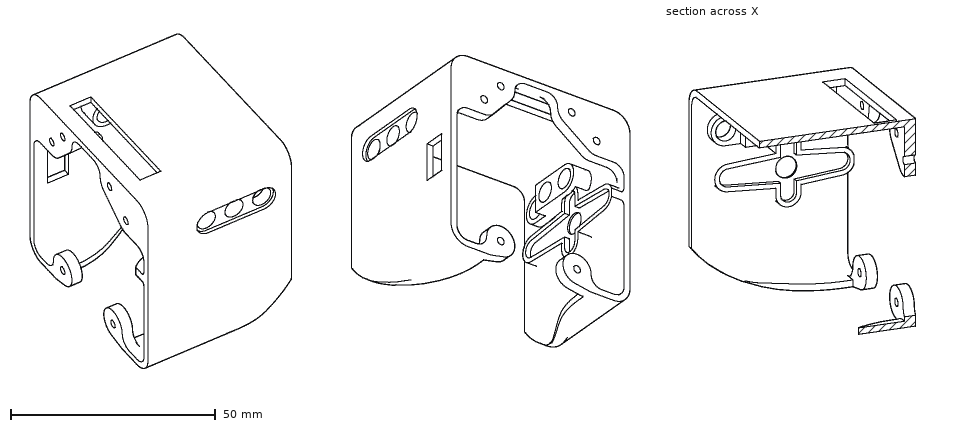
import cadquery as cq
import math


WIDTH = 54.0
HEIGHT = 54.0
DEPTH = 41.5
WALL = 1.8
OUTER_RADIUS = 5.0
INNER_RADIUS = OUTER_RADIUS - WALL
HALF_W = WIDTH / 2
HALF_H = HEIGHT / 2
INNER_X = HALF_W - WALL
INNER_Z = HALF_H - WALL

FLANGE_THICKNESS = 3.0
LUG_RADIUS = 4.25
SCREW_DIAMETER = 2.0
LEFT_LUGS = [(-17.0, 16.5), (-12.0, 22.0)]
RIGHT_LUGS = [(9.4, 22.0), (16.9, 16.5)]
HOOKS = [(-12.0, -22.0), (11.0, -22.0)]

FLOOR_EDGE_X = 15.0
FLOOR_RELIEF_RADIUS = 25.0
FLOOR_RELIEF_FLARE = math.radians(28)
REAR_RELIEF_RADIUS = 30.0
FLOOR_RELIEF_START_Y = 5.5
REAR_RELIEF_START_Y = 17.5

TOP_SLOT_LENGTH = 32.0
TOP_SLOT_WIDTH = 6.0
TOP_SLOT_START_Y = 4.65
WINDOW_START_Y = 4.0
WINDOW_WIDTH = 6.0
WINDOW_HEIGHT = 10.4

LED_DIAMETER = 5.2
LED_PITCH = 8.0
LED_COUNT = 3
LED_FIRST_Y = 17.5
LED_Z = 15.25
LED_BOSS_RADIUS = 3.85
LED_BOSS_END_X = 19.85
REAR_LED_BOSS_END_X = 22.8
LED_RECESS_RADIUS = 3.35
LED_RECESS_DEPTH = 1.0

PIVOT_Y = 17.4
PIVOT_Z = 3.5
PIN_DIAMETER = 3.0
PIN_LENGTH = 2.2
PIN_TIP_FILLET = 0.9
SEAT_FACE_X = 21.4
SEAT_FOOT_FILLET = 0.8
SEAT_RIM = 1.25
HORN_POCKET_DEPTH = 1.4
HORN_HUB_RADIUS = 3.5
HORN_TIP_RADIUS = 2.35
HORN_FRONT_REACH = 14.0
HORN_BACK_REACH = 16.0
HORN_SHORT_RADIUS = 2.1
HORN_SHORT_REACH = 6.45
HUB_HOLE_DIAMETER = 5.6
HUB_HOLE_DEPTH = 0.5
SELECT_MARGIN = 0.01


def on_circle(center, radius, angle):
    return (center[0] + radius * math.cos(angle), center[1] + radius * math.sin(angle))


def rounded_bar(width, height, radius):
    """Rounded rectangle in XZ, running along Y over the full depth."""
    bar = cq.Workplane("XZ").rect(width, height).extrude(-DEPTH)
    return bar.edges("|Y").fillet(radius)


def arc_around(wire, center, radius, start, end):
    """Continue a wire with an arc about a centre, from one angle to another."""
    return wire.threePointArc(on_circle(center, radius, (start + end) / 2), on_circle(center, radius, end))


def hook_tangent_angle(center):
    """Angle at which the line from the floor edge touches a hook, measured for a hook at positive X."""
    run = FLOOR_EDGE_X - abs(center[0])
    drop = -HALF_H - center[1]
    return math.atan2(drop, run) - math.acos(LUG_RADIUS / math.hypot(run, drop))


def flange_opening():
    """Opening of the front flange, traced clockwise from the lower left floor edge."""
    left_hook, right_hook = HOOKS
    low_left, high_left = LEFT_LUGS
    high_right, low_right = RIGHT_LUGS
    lug_bottom = low_left[1] - LUG_RADIUS
    r = INNER_RADIUS
    quarter = math.pi / 2

    left_touch = math.pi - hook_tangent_angle(left_hook)
    right_touch = hook_tangent_angle(right_hook)
    left_slope = math.atan2(high_left[1] - low_left[1], high_left[0] - low_left[0]) - quarter
    right_slope = math.atan2(low_right[1] - high_right[1], low_right[0] - high_right[0]) - quarter

    left_blend = (left_hook[0] - LUG_RADIUS - r, left_hook[1])
    right_blend = (right_hook[0] + LUG_RADIUS + r, right_hook[1])
    low_left_corner = (-INNER_X + r, -INNER_Z + r)
    low_right_corner = (INNER_X - r, -INNER_Z + r)
    up_left_corner = (-INNER_X + r, lug_bottom - r)
    up_right_corner = (INNER_X - r, lug_bottom - r)
    notch_left = (high_left[0] + LUG_RADIUS + r, INNER_Z - r)
    notch_right = (high_right[0] - LUG_RADIUS - r, INNER_Z - r)

    wire = cq.Workplane("XZ").moveTo(-FLOOR_EDGE_X, -HALF_H)
    wire = wire.lineTo(*on_circle(left_hook, LUG_RADIUS, left_touch))
    wire = arc_around(wire, left_hook, LUG_RADIUS, left_touch, 3 * math.pi)
    wire = arc_around(wire, left_blend, r, 0, -quarter)
    wire = wire.lineTo(low_left_corner[0], -INNER_Z)
    wire = arc_around(wire, low_left_corner, r, 3 * quarter, math.pi)
    wire = wire.lineTo(-INNER_X, up_left_corner[1])
    wire = arc_around(wire, up_left_corner, r, math.pi, quarter)
    wire = wire.lineTo(low_left[0], lug_bottom)
    wire = arc_around(wire, low_left, LUG_RADIUS, -quarter, left_slope)
    wire = wire.lineTo(*on_circle(high_left, LUG_RADIUS, left_slope))
    wire = arc_around(wire, high_left, LUG_RADIUS, left_slope, 0)
    wire = arc_around(wire, notch_left, r, math.pi, quarter)
    wire = wire.lineTo(notch_right[0], INNER_Z)
    wire = arc_around(wire, notch_right, r, quarter, 0)
    wire = arc_around(wire, high_right, LUG_RADIUS, -math.pi, right_slope)
    wire = wire.lineTo(*on_circle(low_right, LUG_RADIUS, right_slope))
    wire = arc_around(wire, low_right, LUG_RADIUS, right_slope, -quarter)
    wire = wire.lineTo(up_right_corner[0], lug_bottom)
    wire = arc_around(wire, up_right_corner, r, quarter, 0)
    wire = wire.lineTo(INNER_X, low_right_corner[1])
    wire = arc_around(wire, low_right_corner, r, 0, -quarter)
    wire = wire.lineTo(right_blend[0], -INNER_Z)
    wire = arc_around(wire, right_blend, r, -quarter, -math.pi)
    wire = arc_around(wire, right_hook, LUG_RADIUS, 0, right_touch + 2 * math.pi)
    wire = wire.lineTo(FLOOR_EDGE_X, -HALF_H)
    return wire.close().extrude(-FLANGE_THICKNESS)


def screw_holes():
    centers = LEFT_LUGS + RIGHT_LUGS + HOOKS
    return cq.Workplane("XZ").pushPoints(centers).circle(SCREW_DIAMETER / 2).extrude(-FLANGE_THICKNESS)


def floor_relief():
    """Gap in the floor that flares out up to where the rear relief breaks through the floor."""
    arc_center = (FLOOR_EDGE_X + FLOOR_RELIEF_RADIUS, FLOOR_RELIEF_START_Y)
    middle = on_circle(arc_center, FLOOR_RELIEF_RADIUS, math.pi - FLOOR_RELIEF_FLARE / 2)
    arc_end = on_circle(arc_center, FLOOR_RELIEF_RADIUS, math.pi - FLOOR_RELIEF_FLARE)
    breakthrough_y = REAR_RELIEF_START_Y + math.sqrt(WALL * (2 * REAR_RELIEF_RADIUS - WALL))
    flare_end_x = arc_end[0] + (breakthrough_y - arc_end[1]) * math.tan(FLOOR_RELIEF_FLARE)
    half = (
        cq.Workplane("XY", origin=(0, 0, -HALF_H))
        .moveTo(0, FLANGE_THICKNESS)
        .lineTo(FLOOR_EDGE_X, FLANGE_THICKNESS)
        .lineTo(FLOOR_EDGE_X, FLOOR_RELIEF_START_Y)
        .threePointArc(middle, arc_end)
        .lineTo(flare_end_x, breakthrough_y)
        .lineTo(flare_end_x, DEPTH)
        .lineTo(0, DEPTH)
        .close()
        .extrude(OUTER_RADIUS)
    )
    return half.union(half.mirror("YZ"))


def rear_relief():
    """Round-off of the lower rear edge, running through along X."""
    center = (REAR_RELIEF_START_Y, -HALF_H + REAR_RELIEF_RADIUS)
    sweep = math.asin((DEPTH - REAR_RELIEF_START_Y) / REAR_RELIEF_RADIUS)
    middle = on_circle(center, REAR_RELIEF_RADIUS, -math.pi / 2 + sweep / 2)
    end = on_circle(center, REAR_RELIEF_RADIUS, -math.pi / 2 + sweep)
    return (
        cq.Workplane("YZ", origin=(-HALF_W, 0, 0))
        .moveTo(REAR_RELIEF_START_Y, -HALF_H)
        .threePointArc(middle, end)
        .lineTo(DEPTH, -HALF_H)
        .close()
        .extrude(WIDTH)
    )


def top_slot():
    center_y = TOP_SLOT_START_Y + TOP_SLOT_WIDTH / 2
    plane = cq.Workplane("XY", origin=(0, center_y, INNER_Z))
    return plane.rect(TOP_SLOT_LENGTH, TOP_SLOT_WIDTH).extrude(WALL)


def window():
    center_y = WINDOW_START_Y + WINDOW_WIDTH / 2
    plane = cq.Workplane("YZ", origin=(-HALF_W, center_y, 0))
    return plane.rect(WINDOW_WIDTH, WINDOW_HEIGHT).extrude(WALL)


def led_slot(start_x, length, radius):
    """Stadium prism along X that follows the row of LED holes."""
    row = LED_PITCH * (LED_COUNT - 1)
    plane = cq.Workplane("YZ", origin=(start_x, LED_FIRST_Y + row / 2, LED_Z))
    return plane.slot2D(row + 2 * radius, 2 * radius).extrude(length)


def led_boss():
    """Thickening of the left wall around the LED holes, shorter around the rearmost hole."""
    boss = led_slot(-INNER_X, INNER_X - LED_BOSS_END_X, LED_BOSS_RADIUS)
    rear_led_y = LED_FIRST_Y + (LED_COUNT - 1) * LED_PITCH
    step_y = rear_led_y - LED_PITCH / 2
    shortening = REAR_LED_BOSS_END_X - LED_BOSS_END_X
    clearance = cq.Workplane("XY").box(shortening, DEPTH - step_y, HALF_H, centered=False)
    return boss.cut(clearance.translate((-REAR_LED_BOSS_END_X, step_y, 0)))


def led_holes():
    centers = [(LED_FIRST_Y + i * LED_PITCH, LED_Z) for i in range(LED_COUNT)]
    plane = cq.Workplane("YZ", origin=(-HALF_W, 0, 0))
    return plane.pushPoints(centers).circle(LED_DIAMETER / 2).extrude(WIDTH)


def pivot_pin():
    plane = cq.Workplane("YZ", origin=(-INNER_X, PIVOT_Y, PIVOT_Z))
    pin = plane.circle(PIN_DIAMETER / 2).extrude(PIN_LENGTH)
    return pin.faces(">X").edges().fillet(PIN_TIP_FILLET)


def tapered_arm(start_x, thickness, reach, root_radius, tip_radius, turn):
    """Arm from the pivot with round ends and straight sides tangent to both; turn is its angle from +Y."""
    tilt = math.acos((root_radius - tip_radius) / reach)
    tip = (reach, 0)
    return (
        cq.Workplane("YZ")
        .moveTo(*on_circle((0, 0), root_radius, tilt))
        .threePointArc((-root_radius, 0), on_circle((0, 0), root_radius, -tilt))
        .lineTo(*on_circle(tip, tip_radius, -tilt))
        .threePointArc((reach + tip_radius, 0), on_circle(tip, tip_radius, tilt))
        .close()
        .extrude(thickness)
        .rotate((0, 0, 0), (1, 0, 0), turn)
        .translate((start_x, PIVOT_Y, PIVOT_Z))
    )


def horn_shape(start_x, thickness, margin):
    """Four-armed servo horn, grown by a margin all round."""
    hub = HORN_HUB_RADIUS + margin
    tip = HORN_TIP_RADIUS + margin
    short = HORN_SHORT_RADIUS + margin
    shape = tapered_arm(start_x, thickness, HORN_BACK_REACH, hub, tip, 0)
    shape = shape.union(tapered_arm(start_x, thickness, HORN_FRONT_REACH, hub, tip, 180))
    for turn in (90, -90):
        shape = shape.union(tapered_arm(start_x, thickness, HORN_SHORT_REACH, short, short, turn))
    return shape


def seat_wall():
    """Patch of the right wall with the horn seat standing on it, blended at the foot."""
    patch_height = HALF_H
    patch_length = 2 * DEPTH
    patch = cq.Workplane("XY", origin=(INNER_X, PIVOT_Y, PIVOT_Z))
    patch = patch.box(WALL, patch_length, patch_height, centered=(False, True, True))
    seat = horn_shape(SEAT_FACE_X, INNER_X - SEAT_FACE_X, SEAT_RIM)

    half_seat_length = HORN_BACK_REACH + HORN_TIP_RADIUS + SEAT_RIM
    half_seat_height = HORN_SHORT_REACH + HORN_SHORT_RADIUS + SEAT_RIM
    foot = cq.selectors.BoxSelector(
        (INNER_X - SELECT_MARGIN, PIVOT_Y - half_seat_length, PIVOT_Z - half_seat_height - SELECT_MARGIN),
        (INNER_X + SELECT_MARGIN, PIVOT_Y + half_seat_length, PIVOT_Z + half_seat_height + SELECT_MARGIN),
    )
    blended = patch.union(seat).edges(foot).fillet(SEAT_FOOT_FILLET)
    envelope = cq.Workplane("XY").box(WIDTH, DEPTH, HEIGHT, centered=(True, False, True))
    return blended.intersect(envelope)


def horn_pocket():
    """Recess for the servo horn with a shallow round hole at the pivot."""
    floor_x = SEAT_FACE_X + HORN_POCKET_DEPTH
    hub_plane = cq.Workplane("YZ", origin=(floor_x, PIVOT_Y, PIVOT_Z))
    hub_hole = hub_plane.circle(HUB_HOLE_DIAMETER / 2).extrude(HUB_HOLE_DEPTH)
    return horn_shape(SEAT_FACE_X, HORN_POCKET_DEPTH, 0).union(hub_hole)


def housing():
    """Sleeve with its front flange, screw holes and floor opening."""
    shell = rounded_bar(WIDTH, HEIGHT, OUTER_RADIUS)
    cavity = rounded_bar(2 * INNER_X, 2 * INNER_Z, INNER_RADIUS).translate((0, FLANGE_THICKNESS, 0))
    return shell.cut(cavity).cut(flange_opening()).cut(screw_holes()).cut(floor_relief())


left_led_recess = led_slot(-HALF_W, LED_RECESS_DEPTH, LED_RECESS_RADIUS)

body = housing()
body = body.union(led_boss()).union(led_boss().mirror("YZ"))
body = body.union(pivot_pin()).union(seat_wall())
body = body.cut(horn_pocket()).cut(led_holes())
body = body.cut(left_led_recess).cut(left_led_recess.mirror("YZ"))
body = body.cut(top_slot()).cut(window())

result = body.cut(rear_relief())